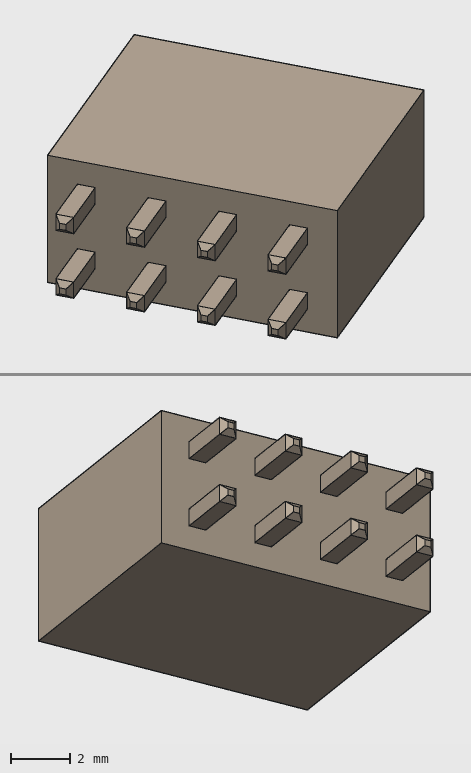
import cadquery as cq

overall_length = 10.69

body_width = 10.41
body_length = 8.4
body_height = 5.0

columns = 4
rows = 2
outer_column_spacing = 7.62
pitch = outer_column_spacing / (columns - 1)
pin_side = 0.64
pin_projection = overall_length - body_length

tip_chamfer = 0.2


def make_body():
    """Plain block centred on X and Z, with its pin face at Y = 0."""
    return cq.Workplane("XY").box(body_width, body_length, body_height, centered=(True, False, True))


def make_pins():
    """Grid of square pins running from the pin face toward -Y, with chamfered tips."""
    pins = (
        cq.Workplane("XZ")
        .rarray(pitch, pitch, columns, rows)
        .rect(pin_side, pin_side)
        .extrude(pin_projection)
    )
    return pins.faces("<Y").chamfer(tip_chamfer)


result = make_body().union(make_pins())